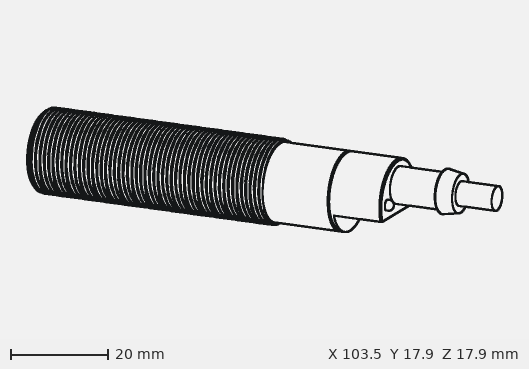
import cadquery as cq
import math

TOTAL_LENGTH = 103.5
GROOVE_START = 68.8
LOWER_BODY_END = 70.0
BODY_END = 81.0
COLLAR_START = 91.4
COLLAR_END = 95.2

BODY_RADIUS = 8.4
BODY_CHAMFER = 0.3
GROOVE_WIDTH = 0.3
GROOVE_DEPTH = 0.1
FLAT_Z = -3.0

THREAD_RADIUS = 8.97
THREAD_PITCH = 1.0
LEAD_IN_RADIUS = 8.0
BLOCK_TURNS = 3
BLOCK_COUNT = 18
BLOCK_LENGTH = BLOCK_TURNS * THREAD_PITCH
THREAD_END = BLOCK_COUNT * BLOCK_LENGTH
SPIRAL_STEPS = 12
CLEARANCE = 0.1

CABLE_Z = 2.9
NECK_RADIUS = 3.9
COLLAR_RADIUS = 4.8
COLLAR_BEVEL = 0.3
COLLAR_END_RADIUS = 4.1
CABLE_RADIUS = 2.6

BUMP_RADIUS = 1.1
BUMP_HEIGHT = 1.3
BUMP_FILLET = 0.9
BUMP_OFFSET = 5.3


def turned(points, axis_z=0.0):
    """Solid of revolution about a line parallel to X; points are (x, radius)."""
    first_x = points[0][0]
    last_x = points[-1][0]
    outline = [(x, axis_z + radius) for x, radius in points]
    return (
        cq.Workplane("XZ")
        .polyline([(first_x, axis_z), *outline, (last_x, axis_z)])
        .close()
        .revolve(360, (0, axis_z), (1, axis_z))
    )


def flank_points(start_radius, end_radius, start_angle):
    """Half a turn of spiral, the square cut through one flank of the thread."""
    points = []
    for step in range(SPIRAL_STEPS + 1):
        share = step / SPIRAL_STEPS
        radius = start_radius + share * (end_radius - start_radius)
        angle = start_angle + share * math.pi
        points.append((radius * math.cos(angle), radius * math.sin(angle)))
    return points


def thread_block():
    """A few turns of sharp V thread, as the twisted extrusion of its cross-section.

    Cut square to the axis, the flanks are two spirals that meet at crest and root.
    """
    falling_flank = flank_points(THREAD_RADIUS, BODY_RADIUS, 0)
    rising_flank = flank_points(BODY_RADIUS, THREAD_RADIUS, math.pi)
    return (
        cq.Workplane("YZ")
        .spline(falling_flank)
        .spline(rising_flank[1:], includeCurrent=True)
        .close()
        .twistExtrude(BLOCK_LENGTH, 360 * BLOCK_TURNS)
    )


def threaded_section():
    """Identical thread blocks in a row behind a bevelled first one, skinned into one solid."""
    block = thread_block()
    clear_radius = THREAD_RADIUS + CLEARANCE
    lead_in_length = clear_radius - LEAD_IN_RADIUS
    envelope = turned([
        (0, LEAD_IN_RADIUS),
        (lead_in_length, clear_radius),
        (BLOCK_LENGTH + CLEARANCE, clear_radius),
    ])
    front_block = block.intersect(envelope, clean=False)
    skin = front_block.faces("not >X").vals()
    for index in range(1, BLOCK_COUNT):
        is_last = index == BLOCK_COUNT - 1
        kept_faces = "not <X" if is_last else "not (<X or >X)"
        shifted = block.translate((index * BLOCK_LENGTH, 0, 0))
        skin += shifted.faces(kept_faces).vals()
    return cq.Workplane(cq.Solid.makeSolid(cq.Shell.makeShell(skin)))


def rear_body():
    groove_radius = BODY_RADIUS - GROOVE_DEPTH
    groove_end = GROOVE_START + GROOVE_WIDTH
    body = turned([
        (THREAD_END, BODY_RADIUS),
        (GROOVE_START, BODY_RADIUS),
        (GROOVE_START, groove_radius),
        (groove_end, groove_radius),
        (groove_end, BODY_RADIUS),
        (BODY_END - BODY_CHAMFER, BODY_RADIUS),
        (BODY_END, BODY_RADIUS - BODY_CHAMFER),
    ])
    relief = (
        cq.Workplane("XY", origin=(BODY_END, 0, FLAT_Z))
        .rect(2 * (BODY_END - LOWER_BODY_END), 2 * BODY_RADIUS)
        .extrude(-BODY_RADIUS)
    )
    return body.cut(relief)


def cable_outlet():
    return turned(
        [
            (BODY_END, NECK_RADIUS),
            (COLLAR_START, NECK_RADIUS),
            (COLLAR_START, COLLAR_RADIUS - COLLAR_BEVEL),
            (COLLAR_START + COLLAR_BEVEL, COLLAR_RADIUS),
            (COLLAR_END, COLLAR_END_RADIUS),
            (COLLAR_END, CABLE_RADIUS),
            (TOTAL_LENGTH, CABLE_RADIUS),
        ],
        CABLE_Z,
    )


def bumps():
    return (
        cq.Workplane("YZ", origin=(BODY_END, 0, 0))
        .pushPoints([(-BUMP_OFFSET, 0), (BUMP_OFFSET, 0)])
        .circle(BUMP_RADIUS)
        .extrude(BUMP_HEIGHT)
        .faces(">X")
        .edges()
        .fillet(BUMP_FILLET)
    )


rear_part = rear_body().union(cable_outlet()).union(bumps())
result = threaded_section().union(rear_part, clean=False)